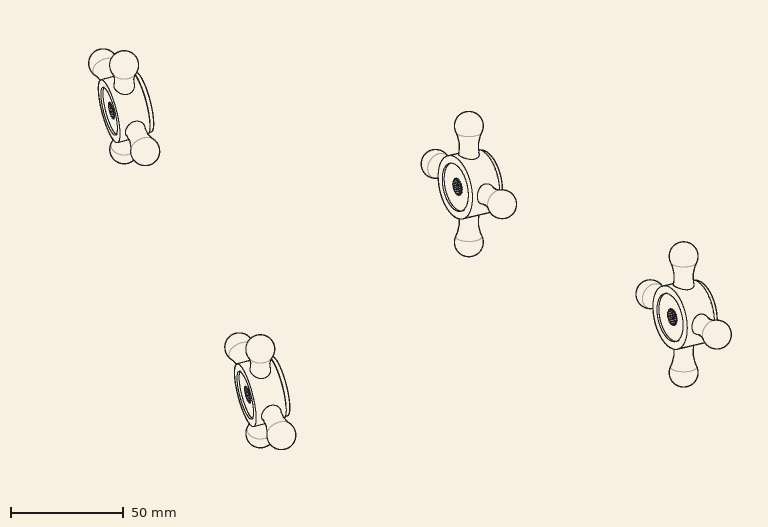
import cadquery as cq
import math

overall_width = 248.5
handle_span = 68.5
handle_offset = (overall_width - handle_span) / 2
arm_count = 4

hub_radius = 14.5
hub_depth = 14.2
arm_axis_y = hub_depth / 2

ball_radius = 6.5
ball_center = handle_span / 2 - ball_radius
seam_distance = 25.0
seam_radius = math.sqrt(ball_radius**2 - (ball_center - seam_distance) ** 2)
waist_distance = 18.0
waist_radius = 4.2
root_distance = 2 * waist_distance - seam_distance

disc_radius = 11.0
disc_recess = 1.0
disc_thickness = 2.5
spline_height = 0.37
bore_ridge_radius = 3.5
bore_groove_radius = bore_ridge_radius + spline_height
spline_count = 20
bore_depth = 8.7
bore_tip_depth = 1.2

cap_radius = 13.7
cap_rim_depth = 2.0
cap_depth = 3.5


def make_arm():
    """Arm turned about +Z, from inside the hub out to the ball tip."""
    profile = (
        cq.Workplane("XZ")
        .lineTo(seam_radius, 0)
        .lineTo(seam_radius, root_distance)
        .threePointArc((waist_radius, waist_distance), (seam_radius, seam_distance))
        .threePointArc((ball_radius, ball_center), (0, ball_center + ball_radius))
        .close()
    )
    arm = profile.revolve(360, (0, 0, 0), (0, 1, 0))
    return arm.translate((0, arm_axis_y, 0))


def cylinder_along_y(radius, start_y, end_y):
    return cq.Workplane("XZ", origin=(0, start_y, 0)).circle(radius).extrude(start_y - end_y)


def spline_point(index):
    """Corner of the splined outline; even corners are grooves, odd ones are ridges."""
    radius = bore_ridge_radius if index % 2 else bore_groove_radius
    angle = math.pi / 2 + index * math.pi / spline_count
    return radius * math.cos(angle), radius * math.sin(angle)


def make_bore():
    """Blind splined bore with a conical bottom, starting at the front face of the disc."""
    tip_start = disc_recess + bore_depth
    outline = [spline_point(index) for index in range(2 * spline_count)]
    splined = cq.Workplane("XZ", origin=(0, disc_recess, 0)).polyline(outline).close()
    bore = splined.extrude(-bore_depth)
    tip = (
        cq.Workplane("XY")
        .moveTo(0, tip_start)
        .lineTo(bore_ridge_radius, tip_start)
        .lineTo(0, tip_start + bore_tip_depth)
        .close()
        .revolve(360, (0, 0, 0), (0, 1, 0))
    )
    return bore.union(tip)


def make_cross(bore):
    """Hub with its arms, the seat for the front disc and the inner part of the bore."""
    cross = cylinder_along_y(hub_radius, 0, hub_depth)
    for index in range(arm_count):
        turn = index * 360 / arm_count
        cross = cross.union(make_arm().rotate((0, 0, 0), (0, 1, 0), turn))
    seat = cylinder_along_y(disc_radius, 0, disc_recess + disc_thickness)
    return cross.cut(seat).cut(bore)


def make_disc(bore):
    disc = cylinder_along_y(disc_radius, disc_recess, disc_recess + disc_thickness)
    return disc.cut(bore)


def make_cap():
    dome_height = cap_depth - cap_rim_depth
    dome_radius = (cap_radius**2 + dome_height**2) / (2 * dome_height)
    half_radius = cap_radius / 2
    half_drop = dome_radius - math.sqrt(dome_radius**2 - half_radius**2)
    rear_y = hub_depth + cap_depth
    profile = (
        cq.Workplane("XY")
        .moveTo(0, hub_depth)
        .lineTo(cap_radius, hub_depth)
        .lineTo(cap_radius, hub_depth + cap_rim_depth)
        .threePointArc((half_radius, rear_y - half_drop), (0, rear_y))
        .close()
    )
    return profile.revolve(360, (0, 0, 0), (0, 1, 0))


bore = make_bore()
cross = make_cross(bore)
disc = make_disc(bore)
cap = make_cap()

bodies = []
for side in (-1, 1):
    for body in (cross, disc, cap):
        bodies.append(body.translate((side * handle_offset, 0, 0)).val())

result = cq.Compound.makeCompound(bodies)